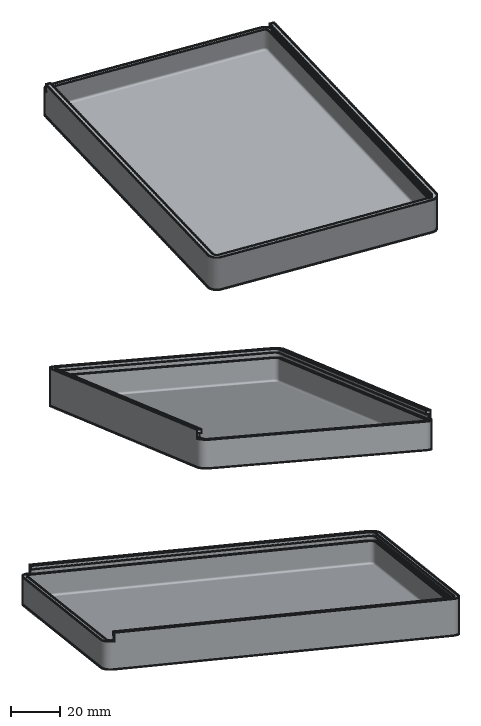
import cadquery as cq

length = 154
width = 104.0
height = 15.5
corner_radius = 4.0
wall = 2.0
floor_thickness = 2.0
floor_fillet = 1.0

lip_height = 1.5
groove_height = 2.2
groove_depth = 1.0

opening_length = 4.3

groove_floor = height - lip_height - groove_height


def rounded_block(inset, bottom, top):
    """Block set in from the tray outline, with corners concentric to it."""
    return (
        cq.Workplane("XY")
        .workplane(offset=bottom)
        .rect(length - 2 * inset, width - 2 * inset)
        .extrude(top - bottom)
        .edges("|Z")
        .fillet(corner_radius - inset)
    )


def box_from_left_end(box_length, box_width, bottom, top):
    """Block centred across the width and starting at the -X end."""
    return (
        cq.Workplane("XY")
        .box(box_length, box_width, top - bottom, centered=(False, True, False))
        .translate((-length / 2, 0, bottom))
    )


def cavity():
    """Tray interior with a rounded edge around the floor."""
    return rounded_block(wall, floor_thickness, height).faces("<Z").edges().fillet(floor_fillet)


def lid_groove():
    """Undercut on the closed sides, continuing straight out at the -X end."""
    closed_end = rounded_block(wall - groove_depth, groove_floor, height - lip_height)
    groove_width = width - 2 * (wall - groove_depth)
    open_end = box_from_left_end(length / 2, groove_width, groove_floor, height - lip_height)
    return closed_end.union(open_end)


def end_opening():
    """Cut that lowers the rim at the -X end to the groove floor."""
    return box_from_left_end(opening_length, width, groove_floor, height)


tray = rounded_block(0, 0, height)
result = tray.cut(cavity()).cut(lid_groove()).cut(end_opening())